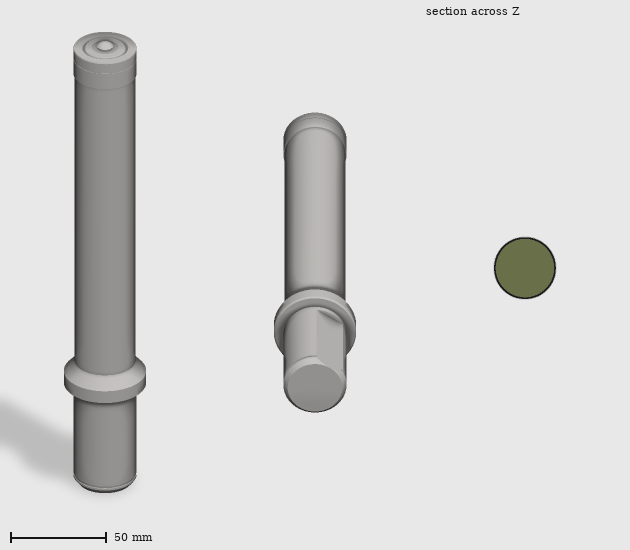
import cadquery as cq
import math

total_height = 264.5
lip_bottom = 3.0
lip_top = 4.0
base_groove_top = 5.3
flat_top = 53.2
neck_bottom = 56.3
collar_bottom = 58.0
collar_cone_bottom = 66.0
collar_cone_top = 72.2
cap_bottom = 245.8
cap_top = 261.5
button_rim = 262.5

tube_radius = 16.0
body_radius = 33.0 / 2
foot_radius = 14.3
collar_radius = 43.0 / 2
collar_chamfer = 0.8
button_radius = 8.7 / 2
button_stem_radius = 3.7

cap_groove_top = 255.5
cap_groove_width = 0.5
cap_groove_depth = 0.3
cap_chamfer_width = 0.3
cap_chamfer_height = 0.5
face_groove_inner = 10.3
face_groove_outer = 12.2
face_groove_depth = 0.8
recess_radius = 7.0
recess_depth = 0.3
flat_offset = 14.3


def turned(profile):
    """Revolve a closed (radius, height) profile about the Z axis."""
    return cq.Workplane("XZ").polyline(profile).close().revolve(360, (0, 0), (0, 1))


def revolved_body():
    """Foot, barrel, collar, tube and cap as one turned profile."""
    cap_groove_bottom = cap_groove_top - cap_groove_width
    cap_groove_radius = body_radius - cap_groove_depth
    profile = [
        (0, 0),
        (foot_radius, 0),
        (body_radius, lip_bottom),
        (body_radius, lip_top),
        (tube_radius, lip_top),
        (tube_radius, base_groove_top),
        (body_radius, base_groove_top),
        (body_radius, neck_bottom),
        (tube_radius, neck_bottom),
        (tube_radius, collar_bottom),
        (collar_radius - collar_chamfer, collar_bottom),
        (collar_radius, collar_bottom + collar_chamfer),
        (collar_radius, collar_cone_bottom),
        (tube_radius, collar_cone_top),
        (tube_radius, cap_bottom),
        (body_radius, cap_bottom),
        (body_radius, cap_groove_bottom),
        (cap_groove_radius, cap_groove_bottom),
        (cap_groove_radius, cap_groove_top),
        (body_radius, cap_groove_top),
        (body_radius, cap_top - cap_chamfer_height),
        (body_radius - cap_chamfer_width, cap_top),
        (0, cap_top),
    ]
    return turned(profile)


def cut_cap_face(body):
    """Cut the V-shaped ring groove and the shallow recess into the cap's end face."""
    groove_middle = (face_groove_inner + face_groove_outer) / 2
    groove_profile = [
        (face_groove_inner, cap_top),
        (groove_middle, cap_top - face_groove_depth),
        (face_groove_outer, cap_top),
    ]
    groove = turned(groove_profile)
    recess = (
        cq.Workplane("XY", origin=(0, 0, cap_top))
        .circle(recess_radius)
        .extrude(-recess_depth)
    )
    return body.cut(groove).cut(recess)


def button():
    """Push button: a narrow stem under a wider, domed head."""
    stem_bottom = cap_top - recess_depth
    head_height = total_height - button_rim
    dome_radius = (button_radius**2 + head_height**2) / (2 * head_height)
    half_way = button_radius / 2
    half_way_height = total_height - dome_radius + math.sqrt(dome_radius**2 - half_way**2)
    outline = (
        cq.Workplane("XZ")
        .moveTo(0, stem_bottom)
        .lineTo(button_stem_radius, stem_bottom)
        .lineTo(button_stem_radius, button_rim)
        .lineTo(button_radius, button_rim)
        .threePointArc((half_way, half_way_height), (0, total_height))
        .close()
    )
    return outline.revolve(360, (0, 0), (0, 1))


def flat_cutter():
    """Block that leaves a flat on the +Y side of the lower barrel."""
    depth = body_radius - flat_offset
    return cq.Workplane("XY").box(
        2 * body_radius, depth, flat_top, centered=(True, False, False)
    ).translate((0, flat_offset, 0))


result = cut_cap_face(revolved_body()).union(button()).cut(flat_cutter())